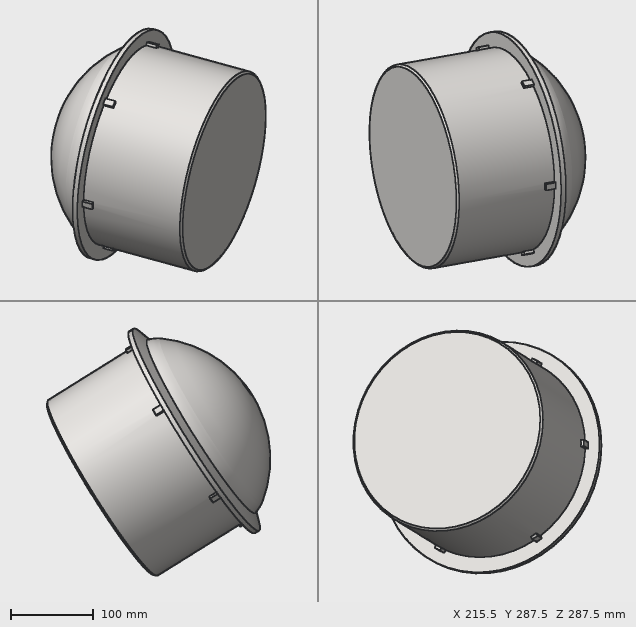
import cadquery as cq
import math

flange_diameter = 287.5
body_diameter = 250.0
body_length = 130.0
end_chamfer = 2.5

rim_thickness = 6.3
flange_root_thickness = 13.5
flange_root_radius = 123.3

dome_projection = 85.5
dome_edge_offset = 28.0
dome_edge_radius = 116.2

lug_count = 6
lug_length = 13.0
lug_width = 8.0
lug_protrusion = 3.7
lug_embed = 5.8

flange_radius = flange_diameter / 2
body_radius = body_diameter / 2

cap_height = dome_projection - dome_edge_offset
sphere_radius = (dome_edge_radius**2 + cap_height**2) / (2 * cap_height)
sphere_center_x = sphere_radius - dome_projection
half_cap_angle = math.asin(dome_edge_radius / sphere_radius) / 2
cap_middle = (
    sphere_center_x - sphere_radius * math.cos(half_cap_angle),
    sphere_radius * math.sin(half_cap_angle),
)


def make_body():
    """Dome, tapered flange and chamfered cylinder as one revolved profile."""
    return (
        cq.Workplane("XY")
        .moveTo(-dome_projection, 0)
        .threePointArc(cap_middle, (-dome_edge_offset, dome_edge_radius))
        .tangentArcPoint((-flange_root_thickness, flange_root_radius), relative=False)
        .lineTo(-rim_thickness, flange_radius)
        .lineTo(0, flange_radius)
        .lineTo(0, body_radius)
        .lineTo(body_length - end_chamfer, body_radius)
        .lineTo(body_length, body_radius - end_chamfer)
        .lineTo(body_length, 0)
        .close()
        .revolve(360, (0, 0, 0), (1, 0, 0))
    )


def make_lug(angle):
    """Small block behind the flange, sunk into the cylinder wall."""
    return (
        cq.Workplane("XY")
        .box(lug_length, lug_embed + lug_protrusion, lug_width, centered=(False, False, True))
        .translate((0, body_radius - lug_embed, 0))
        .rotate((0, 0, 0), (1, 0, 0), angle)
    )


result = make_body()
for index in range(lug_count):
    result = result.union(make_lug(index * 360 / lug_count))